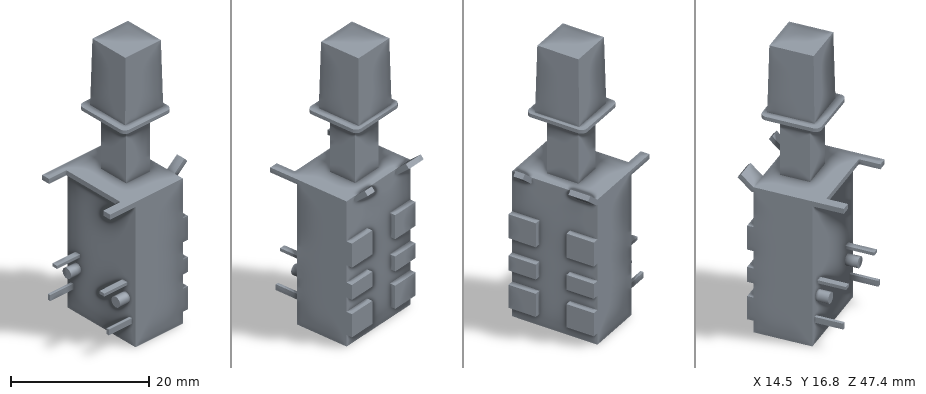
import cadquery as cq
import math

width = 14.5
body_depth = 9.35
body_height = 24.1

plate_thick = 0.85
plate_top = body_height + plate_thick
plate_overhang = 1.55
arm_reach = 4.97
arm_width = 1.45

tab_angle = 41
tab_length = 2.6
tab_inner_x = 3.9
tab_right_width = 1.6

rib_spans = [(2.0, 5.95), (8.45, 11.0), (14.0, 18.1)]
rib_depth = 1.0
rib_inner_x = 2.6

pin_reach = 4.55
pin_wide = 1.0
pin_thin = 0.5
upper_pin_x = 5.0
upper_pin_z = 10.15
lower_pin_x = 6.25
lower_pin_z = 4.15
post_diameter = 1.8
post_reach = 2.0
post_x = 5.2
post_z = 7.68

total_height = 47.4
stem_width = 5.3
stem_depth = 4.75
stem_y = -4.55
flange_width = 9.9
flange_depth = 9.45
flange_y = -4.65
flange_bottom = 35.35
flange_thick = 0.6
flange_radius = 1.0
button_base = 7.5
button_top = 7.0
button_y = -4.35


def block(x_range, y_range, z_range):
    """Box spanning the given (low, high) ranges."""
    sizes = [high - low for low, high in (x_range, y_range, z_range)]
    corner = (x_range[0], y_range[0], z_range[0])
    return cq.Workplane("XY").box(*sizes, centered=False).translate(corner)


def front_pin(x, z, size_x, size_z):
    """Rectangular pin standing out of the front face."""
    return block(
        (x - size_x / 2, x + size_x / 2),
        (-body_depth - pin_reach, -body_depth),
        (z - size_z / 2, z + size_z / 2),
    )


def locating_post(x):
    """Round post standing out of the front face."""
    face = cq.Workplane("XZ", origin=(x, -body_depth, post_z))
    return face.circle(post_diameter / 2).extrude(post_reach)


def mounting_plate():
    """Plate with two forward arms beside a shallow front notch."""
    heights = (body_height, plate_top)
    arm_end = -body_depth - arm_reach
    notch_edge = -body_depth - plate_overhang
    notch_half = width / 2 - arm_width
    plate = block((-width / 2, width / 2), (arm_end, 0), heights)
    return plate.cut(block((-notch_half, notch_half), (arm_end, notch_edge), heights))


def bent_tab(x_low, x_high):
    """Strip of the plate bent upward along its rear edge."""
    angle = math.radians(tab_angle)
    tip_y = tab_length * math.cos(angle)
    tip_z = plate_top + tab_length * math.sin(angle)
    profile = [
        (0, plate_top),
        (tip_y, tip_z),
        (tip_y + plate_thick * math.sin(angle), tip_z - plate_thick * math.cos(angle)),
        (plate_thick * math.tan(angle / 2), body_height),
        (0, body_height),
    ]
    side = cq.Workplane("YZ", origin=(x_low, 0, 0))
    return side.polyline(profile).close().extrude(x_high - x_low)


def plunger():
    """Square stem carrying a rounded flange and a tapered button."""
    flange_top = flange_bottom + flange_thick
    stem = (
        cq.Workplane("XY", origin=(0, stem_y, plate_top))
        .rect(stem_width, stem_depth)
        .extrude(flange_bottom - plate_top)
    )
    flange = (
        cq.Workplane("XY", origin=(0, flange_y, flange_bottom))
        .rect(flange_width, flange_depth)
        .extrude(flange_thick)
        .edges("|Z")
        .fillet(flange_radius)
    )
    button = (
        cq.Workplane("XY", origin=(0, button_y, flange_top))
        .rect(button_base, button_base)
        .workplane(offset=total_height - flange_top)
        .rect(button_top, button_top)
        .loft(ruled=True)
    )
    return stem.union(flange).union(button)


result = block((-width / 2, width / 2), (-body_depth, 0), (0, body_height))
result = result.union(mounting_plate())
result = result.union(bent_tab(-width / 2, -tab_inner_x))
result = result.union(bent_tab(tab_inner_x, tab_inner_x + tab_right_width))
result = result.union(plunger())

for rib_span in rib_spans:
    result = result.union(block((-width / 2, -rib_inner_x), (0, rib_depth), rib_span))
    result = result.union(block((rib_inner_x, width / 2), (0, rib_depth), rib_span))

for side in (-1, 1):
    result = result.union(front_pin(side * upper_pin_x, upper_pin_z, pin_wide, pin_thin))
    result = result.union(front_pin(side * lower_pin_x, lower_pin_z, pin_thin, pin_wide))
    result = result.union(locating_post(side * post_x))